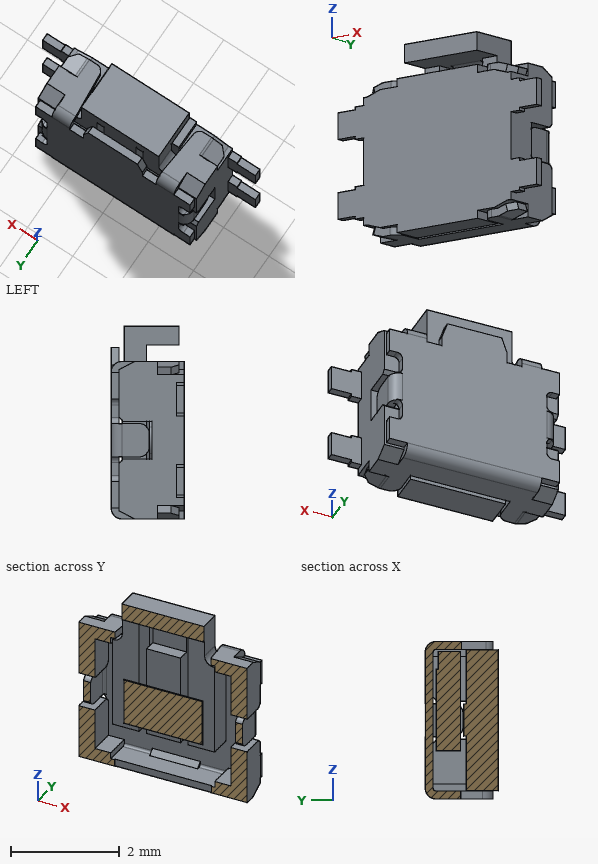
import cadquery as cq
import math

SHEET = 0.15
OVERSHOOT = 0.045

BODY_WIDTH = 3.495
BODY_HEIGHT = 2.9
TOTAL_DEPTH = 1.35
HALF_WIDTH = BODY_WIDTH / 2
HALF_HEIGHT = BODY_HEIGHT / 2
BODY_DEPTH = TOTAL_DEPTH - SHEET
FLOOR_Y = 0.59
CAVITY_HALF_WIDTH = 1.41
CAVITY_HALF_HEIGHT = 1.175
SLOT_HALF_WIDTH = 1.08
WINDOW_HALF_HEIGHT = 0.35
WINDOW_CHAMFER = 0.07

TOTAL_WIDTH = 4.7
TERMINAL_ROOT_X = 1.945
TERMINAL_Z = 0.75
TERMINAL_HEIGHT = 0.505
TERMINAL_ROOT_HEIGHT = 0.61

COVER_HALF_WIDTH = 1.705
OUTER_BEND = 0.2
INNER_BEND = OUTER_BEND - SHEET
BEND_Z = HALF_HEIGHT - OUTER_BEND
NOTCH_HALF_HEIGHT = 0.755
NOTCH_FILLET = 0.11
TONGUE_Z = 1.705
TONGUE_TOP_HALF_WIDTH = 0.545
TONGUE_BASE_HALF_WIDTH = 0.655
TONGUE_SLOPE_END_Z = 1.385
TONGUE_RELIEF_Z = 1.175
SKIRT_END_Y = 0.69
GUSSET_HALF_WIDTH = 0.5
GUSSET_SIZE = 0.105

LEG_INNER_X = 0.955
LEG_OUTER_X = 1.35
LEG_INSIDE_Z = HALF_HEIGHT - SHEET
LEG_END_Y = 0.1
TOP_LEG_TAPER = 0.095
TOP_LEG_FILLET = 0.14
BOTTOM_LEG_INNER_X = 1.0
BOTTOM_LEG_FILLET = 0.197
BEVEL_LENGTH = 0.285
TAB_TOP_Y = 0.5
TAB_BEND_RADIUS = 0.16
TAB_ANGLE = 17.0
TAB_LENGTH = 0.35
TAB_CHAMFER = 0.15
POCKET_LENGTH = 0.325

SPRING_HALF_HEIGHT = 0.305
SPRING_OUTER_X = 1.655
SPRING_END_Y = 0.65
SPRING_FILLET = 0.18

BUTTON_HALF_WIDTH = 0.855
BUTTON_HEIGHT = 0.65
BUTTON_TOP_Z = HALF_HEIGHT + BUTTON_HEIGHT
ARM_BOTTOM_Z = 1.75
ARM_FRONT_Y = 0.1
STEM_FRONT_Y = 0.695
STEM_BACK_Y = 1.11
STEM_GAP_INNER_X = 0.352
STEM_GAP_OUTER_X = 0.508
WEB_FRONT_Y = 0.94
WEB_FILLET = 0.11
PLUNGER_SHOULDER_Z = 1.26
PLUNGER_BOTTOM_Z = -0.565
PLUNGER_HALF_WIDTH = 1.06
PLUNGER_FILLET = 0.19
RIB_BACK_Y = 1.145
RIB_TOP_Z = 0.94
FOOT_HALF_WIDTH = 0.822
FOOT_HALF_HEIGHT = 0.47
FOOT_FILLET = 0.05

DOME_BACK_Y = 0.64
DOME_REACH = 1.15
DOME_CORNER = 0.35


def block(x0, x1, y0, y1, z0, z1):
    """Box between the given limits."""
    return cq.Workplane("XY").box(x1 - x0, y1 - y0, z1 - z0, centered=False).translate((x0, y0, z0))


def wide_block(half_width, y0, y1, z0, z1):
    """Box that is symmetric about x = 0."""
    return block(-half_width, half_width, y0, y1, z0, z1)


def prism_y(points, y0, y1):
    """Extrude an XZ outline from y0 to y1."""
    return cq.Workplane("XZ", origin=(0, y0, 0)).polyline(points).close().extrude(y0 - y1)


def prism_x(points, x0, x1):
    """Extrude a YZ outline from x0 to x1."""
    return cq.Workplane("YZ", origin=(x0, 0, 0)).polyline(points).close().extrude(x1 - x0)


def both_sides(shape):
    """Add the mirror image across x = 0."""
    return shape.union(shape.mirror("YZ"))


def flip(shape):
    """Mirror image across z = 0."""
    return shape.mirror("XY")


def tab_point(along, inward):
    """XZ point on the tilted leg tab, measured from the end of its bend on the outer face."""
    angle = math.radians(TAB_ANGLE)
    reach = TAB_BEND_RADIUS - inward
    x = LEG_OUTER_X + reach * math.sin(angle) + along * math.cos(angle)
    z = HALF_HEIGHT - TAB_BEND_RADIUS + reach * math.cos(angle) - along * math.sin(angle)
    return (x, z)


def corner_pocket():
    """Recess for one leg (+X, +Z), wide and deep in front for the tab, bevelled at the back."""
    outside_x = HALF_WIDTH + OVERSHOOT
    outside_z = HALF_HEIGHT + OVERSHOOT
    tip_x, tip_z = tab_point(POCKET_LENGTH, SHEET)
    front = prism_y(
        [
            (LEG_INNER_X, outside_z),
            (LEG_INNER_X, LEG_INSIDE_Z),
            (LEG_OUTER_X, LEG_INSIDE_Z),
            tab_point(0, SHEET),
            (tip_x, tip_z),
            (outside_x, tip_z),
            (outside_x, outside_z),
        ],
        -OVERSHOOT,
        TAB_TOP_Y,
    )
    strip_bed = block(LEG_INNER_X, LEG_OUTER_X, -OVERSHOOT, BODY_DEPTH, LEG_INSIDE_Z, outside_z)
    bevel = prism_x(
        [
            (BODY_DEPTH - BEVEL_LENGTH, HALF_HEIGHT),
            (BODY_DEPTH, LEG_INSIDE_Z),
            (BODY_DEPTH, HALF_HEIGHT),
        ],
        LEG_OUTER_X,
        outside_x,
    )
    return front.union(strip_bed).union(bevel)


def make_body():
    body = wide_block(HALF_WIDTH, 0, BODY_DEPTH, -HALF_HEIGHT, HALF_HEIGHT)
    cavity = wide_block(CAVITY_HALF_WIDTH, FLOOR_Y, BODY_DEPTH, -CAVITY_HALF_HEIGHT, CAVITY_HALF_HEIGHT)
    slot = wide_block(SLOT_HALF_WIDTH, FLOOR_Y, BODY_DEPTH, -HALF_HEIGHT, HALF_HEIGHT)
    mouth = WINDOW_HALF_HEIGHT + WINDOW_CHAMFER
    window = prism_x(
        [
            (FLOOR_Y, -WINDOW_HALF_HEIGHT),
            (BODY_DEPTH - WINDOW_CHAMFER, -WINDOW_HALF_HEIGHT),
            (BODY_DEPTH, -mouth),
            (BODY_DEPTH, mouth),
            (BODY_DEPTH - WINDOW_CHAMFER, WINDOW_HALF_HEIGHT),
            (FLOOR_Y, WINDOW_HALF_HEIGHT),
        ],
        -HALF_WIDTH,
        HALF_WIDTH,
    )
    pockets = both_sides(corner_pocket())
    return body.cut(cavity).cut(slot).cut(window).cut(pockets).cut(flip(pockets))


def make_terminals():
    terminals = cq.Workplane("XY")
    for z in (-TERMINAL_Z, TERMINAL_Z):
        for half_width, height in (
            (TOTAL_WIDTH / 2, TERMINAL_HEIGHT),
            (TERMINAL_ROOT_X, TERMINAL_ROOT_HEIGHT),
        ):
            bar = wide_block(half_width, 0, SHEET, z - height / 2, z + height / 2)
            terminals = terminals.union(bar)
    return terminals


def bent_strip(x0, x1, end_y):
    """Sheet that runs along the cover back, bends at the top and runs forward to end_y."""
    bend_y = TOTAL_DEPTH - OUTER_BEND
    diagonal = math.sqrt(0.5)
    return (
        cq.Workplane("YZ", origin=(x0, 0, 0))
        .moveTo(TOTAL_DEPTH, BEND_Z - OVERSHOOT)
        .lineTo(TOTAL_DEPTH, BEND_Z)
        .threePointArc(
            (bend_y + OUTER_BEND * diagonal, BEND_Z + OUTER_BEND * diagonal), (bend_y, HALF_HEIGHT)
        )
        .lineTo(end_y, HALF_HEIGHT)
        .lineTo(end_y, LEG_INSIDE_Z)
        .lineTo(bend_y, LEG_INSIDE_Z)
        .threePointArc(
            (bend_y + INNER_BEND * diagonal, BEND_Z + INNER_BEND * diagonal), (BODY_DEPTH, BEND_Z)
        )
        .lineTo(BODY_DEPTH, BEND_Z - OVERSHOOT)
        .close()
        .extrude(x1 - x0)
    )


def leg(end_inner_x, start_inner_x, fillet):
    """One cover leg (+X, +Z): bent strip with an inward tab at its outer edge."""
    strip = bent_strip(LEG_INNER_X, LEG_OUTER_X, LEG_END_Y)
    outline = (
        cq.Workplane("XY", origin=(0, 0, BEND_Z - OVERSHOOT))
        .moveTo(start_inner_x, TOTAL_DEPTH)
        .lineTo(start_inner_x, TOTAL_DEPTH - OUTER_BEND)
        .lineTo(end_inner_x, LEG_END_Y)
        .lineTo(LEG_OUTER_X, LEG_END_Y)
        .lineTo(LEG_OUTER_X, TOTAL_DEPTH)
        .close()
        .extrude(OUTER_BEND + 2 * OVERSHOOT)
        .edges(cq.selectors.NearestToPointSelector((end_inner_x, LEG_END_Y, HALF_HEIGHT)))
        .fillet(fillet)
    )
    return strip.intersect(outline).union(leg_tab())


def leg_tab():
    """Bend and tilted tab with a chamfered front corner."""
    half_angle = math.radians(TAB_ANGLE / 2)
    bend_middle = (
        LEG_OUTER_X + TAB_BEND_RADIUS * math.sin(half_angle),
        HALF_HEIGHT - TAB_BEND_RADIUS * (1 - math.cos(half_angle)),
    )
    tab = (
        cq.Workplane("XZ", origin=(0, LEG_END_Y, 0))
        .moveTo(LEG_OUTER_X, HALF_HEIGHT)
        .threePointArc(bend_middle, tab_point(0, 0))
        .lineTo(*tab_point(TAB_LENGTH, 0))
        .lineTo(*tab_point(TAB_LENGTH, SHEET))
        .lineTo(*tab_point(0, SHEET))
        .lineTo(LEG_OUTER_X, LEG_INSIDE_Z)
        .close()
        .extrude(LEG_END_Y - TAB_TOP_Y)
    )
    tip_x, tip_z = tab_point(TAB_LENGTH, SHEET / 2)
    front_corner = cq.selectors.NearestToPointSelector((tip_x, LEG_END_Y, tip_z))
    return tab.edges(front_corner).chamfer(TAB_CHAMFER)


def side_notch():
    """Notch in the +X edge of the cover, around the root of the spring tab."""
    root_x = SPRING_OUTER_X - OUTER_BEND
    outside_x = COVER_HALF_WIDTH + OVERSHOOT
    notch = block(root_x, outside_x, BODY_DEPTH, TOTAL_DEPTH, SPRING_HALF_HEIGHT, NOTCH_HALF_HEIGHT)
    notch = notch.edges("|Y and <X").fillet(NOTCH_FILLET)
    strip = block(
        root_x, outside_x, BODY_DEPTH, TOTAL_DEPTH, -SPRING_HALF_HEIGHT, SPRING_HALF_HEIGHT
    )
    return notch.union(flip(notch)).union(strip)


def spring_tab():
    """Tab bent forward from the +X edge of the cover, with a rounded end."""
    root_x = SPRING_OUTER_X - OUTER_BEND
    bend_y = TOTAL_DEPTH - OUTER_BEND
    inner_x = SPRING_OUTER_X - SHEET
    diagonal = math.sqrt(0.5)
    tab = (
        cq.Workplane("XY", origin=(0, 0, -SPRING_HALF_HEIGHT))
        .moveTo(root_x, TOTAL_DEPTH)
        .threePointArc(
            (root_x + OUTER_BEND * diagonal, bend_y + OUTER_BEND * diagonal), (SPRING_OUTER_X, bend_y)
        )
        .lineTo(SPRING_OUTER_X, SPRING_END_Y)
        .lineTo(inner_x, SPRING_END_Y)
        .lineTo(inner_x, bend_y)
        .threePointArc(
            (root_x + INNER_BEND * diagonal, bend_y + INNER_BEND * diagonal), (root_x, BODY_DEPTH)
        )
        .close()
        .extrude(2 * SPRING_HALF_HEIGHT)
    )
    return tab.edges("|X and <Y").fillet(SPRING_FILLET)


def make_cover():
    plate = wide_block(COVER_HALF_WIDTH, BODY_DEPTH, TOTAL_DEPTH, -BEND_Z, BEND_Z)
    tongue = prism_y(
        [
            (-TONGUE_BASE_HALF_WIDTH, BEND_Z),
            (-TONGUE_BASE_HALF_WIDTH, TONGUE_SLOPE_END_Z),
            (-TONGUE_TOP_HALF_WIDTH, TONGUE_Z),
            (TONGUE_TOP_HALF_WIDTH, TONGUE_Z),
            (TONGUE_BASE_HALF_WIDTH, TONGUE_SLOPE_END_Z),
            (TONGUE_BASE_HALF_WIDTH, BEND_Z),
        ],
        BODY_DEPTH,
        TOTAL_DEPTH,
    )
    relief = block(
        TONGUE_BASE_HALF_WIDTH, LEG_INNER_X, BODY_DEPTH, TOTAL_DEPTH, TONGUE_RELIEF_Z, BEND_Z
    )
    plate = plate.union(tongue).cut(both_sides(relief.union(side_notch())))

    top_leg = leg(LEG_INNER_X + TOP_LEG_TAPER, LEG_INNER_X, TOP_LEG_FILLET)
    bottom_leg = flip(leg(BOTTOM_LEG_INNER_X, BOTTOM_LEG_INNER_X, BOTTOM_LEG_FILLET))
    skirt = flip(bent_strip(-SLOT_HALF_WIDTH, SLOT_HALF_WIDTH, SKIRT_END_Y))
    gusset = prism_x(
        [
            (BODY_DEPTH, -LEG_INSIDE_Z),
            (BODY_DEPTH, GUSSET_SIZE - LEG_INSIDE_Z),
            (BODY_DEPTH - GUSSET_SIZE, -LEG_INSIDE_Z),
        ],
        -GUSSET_HALF_WIDTH,
        GUSSET_HALF_WIDTH,
    )
    sides = both_sides(top_leg.union(bottom_leg).union(spring_tab()))
    return plate.union(skirt).union(gusset).union(sides)


def make_button():
    arm = wide_block(BUTTON_HALF_WIDTH, ARM_FRONT_Y, STEM_BACK_Y, ARM_BOTTOM_Z, BUTTON_TOP_Z)
    stem = wide_block(BUTTON_HALF_WIDTH, STEM_FRONT_Y, STEM_BACK_Y, PLUNGER_SHOULDER_Z, ARM_BOTTOM_Z)
    plunger = wide_block(
        PLUNGER_HALF_WIDTH, STEM_FRONT_Y, STEM_BACK_Y, PLUNGER_BOTTOM_Z, PLUNGER_SHOULDER_Z
    )
    stem = stem.union(plunger)
    for x in (-BUTTON_HALF_WIDTH, BUTTON_HALF_WIDTH):
        inside_corner = (x, (STEM_FRONT_Y + STEM_BACK_Y) / 2, PLUNGER_SHOULDER_Z)
        stem = stem.edges(cq.selectors.NearestToPointSelector(inside_corner)).fillet(PLUNGER_FILLET)
    rib = wide_block(PLUNGER_HALF_WIDTH, STEM_BACK_Y, RIB_BACK_Y, PLUNGER_BOTTOM_Z, RIB_TOP_Z)

    gap = block(
        STEM_GAP_INNER_X, STEM_GAP_OUTER_X, STEM_FRONT_Y, RIB_BACK_Y, PLUNGER_BOTTOM_Z, ARM_BOTTOM_Z
    )
    web_recess = wide_block(
        STEM_GAP_INNER_X, STEM_FRONT_Y, WEB_FRONT_Y, PLUNGER_SHOULDER_Z, ARM_BOTTOM_Z
    )
    web_recess = web_recess.edges("|X and >Y and >Z").fillet(WEB_FILLET)
    foot = wide_block(FOOT_HALF_WIDTH, DOME_BACK_Y, STEM_FRONT_Y, -FOOT_HALF_HEIGHT, FOOT_HALF_HEIGHT)
    foot = foot.edges("|Z and <Y").fillet(FOOT_FILLET)
    return arm.union(stem).union(rib).cut(both_sides(gap)).cut(web_recess).union(foot)


def make_dome():
    """Diamond-shaped contact plate with rounded corners."""
    corner = DOME_REACH + DOME_CORNER * (math.sqrt(2) - 1)
    diamond = prism_y([(corner, 0), (0, corner), (-corner, 0), (0, -corner)], FLOOR_Y, DOME_BACK_Y)
    return diamond.edges("|Y").fillet(DOME_CORNER)


result = make_body()
for piece in (make_terminals(), make_cover(), make_button(), make_dome()):
    result = result.union(piece)